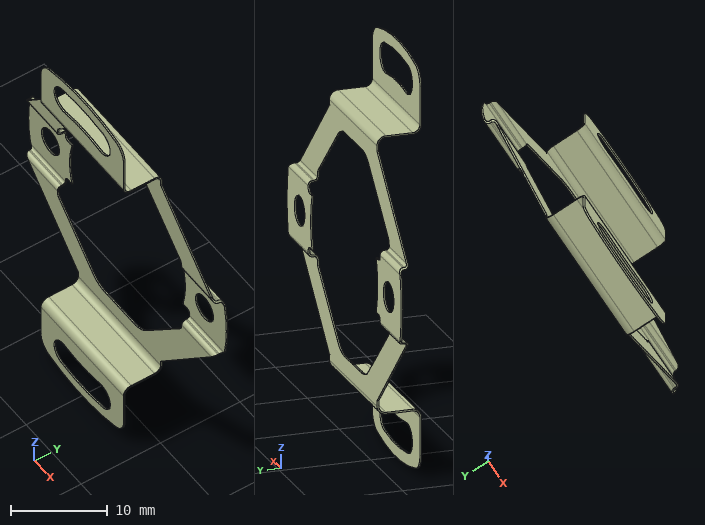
import cadquery as cq
import math

OVERALL_WIDTH = 35.93
OVERALL_DEPTH = 5.9
OVERALL_HEIGHT = 46.0

THICKNESS = 0.2
TAB_STEP = 4.7
EAR_STEP = OVERALL_DEPTH - THICKNESS - TAB_STEP

EAR_BEND_RADIUS = 0.3
EAR_WEB_HEIGHT = 4.0
TAB_BEND_RADIUS = 0.8
TAB_WEB_HEIGHT = 15.1

TAB_TIP_RADIUS = OVERALL_HEIGHT / 2
TAB_WIDTH = 15.0
TAB_CORNER_RADIUS = 2.0
SLOT_PATH_RADIUS = 20.0
SLOT_WIDTH = 3.2
SLOT_HALF_ANGLE = math.radians(10)

FRAME_REACH = 21.2
OPENING_WIDTH = 22.55
OPENING_HEIGHT = 24.55
OPENING_SIDE_LENGTH = 10.2
OPENING_END_LENGTH = 7.8
OPENING_SIDE_FILLET = 1.0
OPENING_END_FILLET = 3.0

EAR_OUTER_RADIUS = OVERALL_WIDTH / 2
EAR_INNER_RADIUS = 10.5
EAR_LIP_HEIGHT = 6.0
EAR_RELIEF_FILLET = 0.5
EAR_HOLE_DIAMETER = 3.2
EAR_HOLE_OFFSET = 14.0

CUT_DEPTH = 4 * TAB_STEP
BACK_PLANE = EAR_STEP + 2 * THICKNESS
STRIP_HALF_HEIGHT = TAB_TIP_RADIUS + THICKNESS
STRIP_WIDTH = OVERALL_WIDTH + THICKNESS


def front_plane():
    """XZ workplane centred on the part."""
    return cq.Workplane("XZ")


def through_y(outline):
    """Extrude a closed XZ outline through every level of the sheet."""
    return outline.extrude(CUT_DEPTH / 2, both=True)


def disc(radius):
    return through_y(front_plane().circle(radius))


def box(width, height):
    return through_y(front_plane().rect(width, height))


def polygon(corners):
    return through_y(front_plane().polyline(corners).close())


def add_step(profile, start_y, end_y, web_z, first_radius, second_radius):
    """Continue an upward profile through a rounded step forward at height web_z."""
    return (
        profile.lineTo(start_y, web_z - first_radius)
        .tangentArcPoint((start_y - first_radius, web_z), relative=False)
        .lineTo(end_y + second_radius, web_z)
        .tangentArcPoint((end_y, web_z + second_radius), relative=False)
    )


def stepped_block(offset, inner_first):
    """Block behind one surface of the sheet; offset moves it back from the front surface."""
    def radii(inner_radius):
        pair = (inner_radius, inner_radius + THICKNESS)
        return pair if inner_first else pair[::-1]

    ear_y = EAR_STEP + offset
    frame_y = offset
    tab_y = offset - TAB_STEP
    profile = cq.Workplane("YZ").moveTo(ear_y, 0)
    profile = add_step(profile, ear_y, frame_y, EAR_WEB_HEIGHT + offset, *radii(EAR_BEND_RADIUS))
    profile = add_step(profile, frame_y, tab_y, TAB_WEB_HEIGHT + offset, *radii(TAB_BEND_RADIUS))
    profile = profile.lineTo(tab_y, STRIP_HALF_HEIGHT).lineTo(BACK_PLANE, STRIP_HALF_HEIGHT)
    return profile.lineTo(BACK_PLANE, 0).close().extrude(STRIP_WIDTH / 2, both=True)


def bent_strip():
    """Sheet folded to the stepped side profile, alike above and below the centre."""
    front_block = stepped_block(0, inner_first=True)
    back_block = stepped_block(THICKNESS, inner_first=False)
    upper_half = front_block.cut(back_block)
    return upper_half.union(upper_half.mirror("XY"))


def outer_shape():
    """Tabs joined to the diamond frame, whose side points are rounded into ears."""
    tabs = box(TAB_WIDTH, OVERALL_HEIGHT).intersect(disc(TAB_TIP_RADIUS))
    tabs = tabs.edges("|Y").edges(">X or <X").fillet(TAB_CORNER_RADIUS)
    diamond = polygon([(FRAME_REACH, 0), (0, FRAME_REACH), (-FRAME_REACH, 0), (0, -FRAME_REACH)])
    frame = diamond.intersect(disc(EAR_OUTER_RADIUS))
    return tabs.union(frame)


def opening():
    """Octagonal opening, narrowed at mid-height by the lips of the two ears."""
    side_x = OPENING_WIDTH / 2
    side_z = OPENING_SIDE_LENGTH / 2
    end_x = OPENING_END_LENGTH / 2
    end_z = OPENING_HEIGHT / 2
    right_corners = [(end_x, -end_z), (side_x, -side_z), (side_x, side_z), (end_x, end_z)]
    left_corners = [(-x, -z) for x, z in right_corners]
    octagon = polygon(right_corners + left_corners)
    octagon = octagon.edges("|Y").edges(">X or <X").fillet(OPENING_SIDE_FILLET)
    octagon = octagon.edges("|Y").edges(">Z or <Z").fillet(OPENING_END_FILLET)

    lips = box(OPENING_WIDTH, EAR_LIP_HEIGHT).cut(disc(EAR_INNER_RADIUS))
    narrowed = octagon.cut(lips)
    relief_zone = cq.selectors.BoxSelector(
        (-OPENING_WIDTH, -CUT_DEPTH, -EAR_LIP_HEIGHT / 2 - EAR_RELIEF_FILLET),
        (OPENING_WIDTH, CUT_DEPTH, EAR_LIP_HEIGHT / 2 + EAR_RELIEF_FILLET),
    )
    return narrowed.edges("|Y").edges(">X or <X").edges(relief_zone).fillet(EAR_RELIEF_FILLET)


def tab_slots():
    """Curved slots with round ends, following an arc about the part centre."""
    outer = SLOT_PATH_RADIUS + SLOT_WIDTH / 2
    inner = SLOT_PATH_RADIUS - SLOT_WIDTH / 2
    sine = math.sin(SLOT_HALF_ANGLE)
    cosine = math.cos(SLOT_HALF_ANGLE)
    slot = through_y(
        front_plane()
        .moveTo(-outer * sine, outer * cosine)
        .threePointArc((0, outer), (outer * sine, outer * cosine))
        .tangentArcPoint((inner * sine, inner * cosine), relative=False)
        .threePointArc((0, inner), (-inner * sine, inner * cosine))
        .tangentArcPoint((-outer * sine, outer * cosine), relative=False)
        .close()
    )
    return slot.union(slot.mirror("XY"))


def ear_holes():
    centres = [(-EAR_HOLE_OFFSET, 0), (EAR_HOLE_OFFSET, 0)]
    return through_y(front_plane().pushPoints(centres).circle(EAR_HOLE_DIAMETER / 2))


result = bent_strip().intersect(outer_shape()).cut(opening()).cut(tab_slots()).cut(ear_holes())